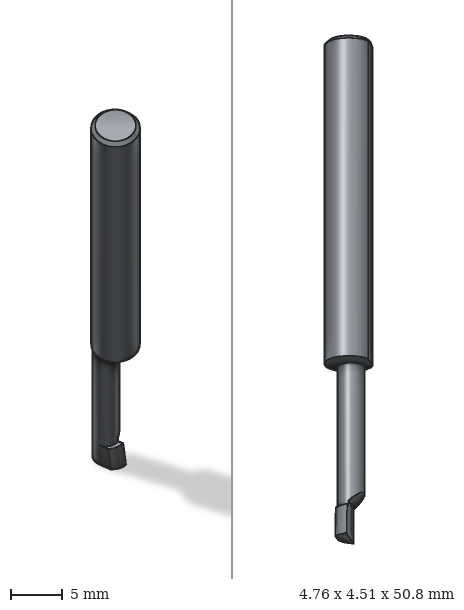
import cadquery as cq
import math

overall_length = 50.79

shank_diameter = 4.7625
shank_radius = shank_diameter / 2
shank_length = 33.0
shank_chamfer = 0.4
flat_to_opposite_side = 4.51
flat_y = flat_to_opposite_side - shank_radius

neck_radius = 1.33
neck_x = neck_radius - shank_radius
shoulder_z = overall_length - shank_length

rake_end_z = 3.65
runout_angle = 41.0

head_top_z = 3.15
head_side_lean = 0.31
head_reach_x = 1.18
head_land_x = 0.24
head_heel_x = 0.65
head_heel_y = -0.97
head_relief_bulge = 0.05

end_dish_angle = 2.5
end_relief_angle = 6.0
corner_chamfer_width = 0.15
corner_chamfer_height = 0.12

overshoot = 5.0


def make_shank():
    """Round shank with a chamfered top and one flat on the +Y side."""
    shank = (
        cq.Workplane("XY")
        .workplane(offset=shoulder_z)
        .circle(shank_radius)
        .extrude(shank_length)
        .faces(">Z")
        .chamfer(shank_chamfer)
    )
    flat_cut = (
        cq.Workplane("XY")
        .box(shank_diameter, shank_diameter, shank_length, centered=(True, False, False))
        .translate((0, flat_y, shoulder_z))
    )
    return shank.cut(flat_cut)


def make_neck():
    """Slender round neck with its lower +Y half cut back to the rake face."""
    neck = cq.Workplane("XY").center(neck_x, 0).circle(neck_radius).extrude(shoulder_z)
    cut_depth = neck_radius + overshoot
    runout_top_z = rake_end_z + cut_depth * math.tan(math.radians(runout_angle))
    rake_cut = (
        cq.Workplane("YZ")
        .polyline([(0, -overshoot), (0, rake_end_z), (cut_depth, runout_top_z), (cut_depth, -overshoot)])
        .close()
        .extrude(shank_diameter, both=True)
    )
    return neck.cut(rake_cut)


def head_section(z, shift):
    """Closed outline of the head at height z, its outer corners shifted along X."""
    inner_corner = cq.Vector(neck_x, 0, z)
    front_corner = cq.Vector(neck_x, -neck_radius, z)
    land_corner = cq.Vector(head_land_x + shift, -neck_radius, z)
    heel_corner = cq.Vector(head_heel_x + shift, head_heel_y, z)
    cutting_corner = cq.Vector(head_reach_x + shift, 0, z)

    chord = cutting_corner - heel_corner
    outward = cq.Vector(chord.y, -chord.x, 0).normalized()
    relief_middle = (heel_corner + cutting_corner) * 0.5 + outward * head_relief_bulge

    edges = [
        cq.Edge.makeLine(inner_corner, front_corner),
        cq.Edge.makeLine(front_corner, land_corner),
        cq.Edge.makeLine(land_corner, heel_corner),
        cq.Edge.makeThreePointArc(heel_corner, relief_middle, cutting_corner),
        cq.Edge.makeLine(cutting_corner, inner_corner),
    ]
    return cq.Wire.assembleEdges(edges)


def make_head():
    """Cutting head on the -Y side of the rake face, with leaning side reliefs."""
    sections = [head_section(0, 0), head_section(head_top_z, -head_side_lean)]
    return cq.Workplane(obj=cq.Solid.makeLoft(sections, True))


def make_end_clearance():
    """Cutter below the tip: a face that rises toward -X and -Y, plus the corner chamfer."""
    corner_x = head_reach_x - corner_chamfer_width
    dish = math.tan(math.radians(end_dish_angle))
    chamfer_slope = corner_chamfer_height / corner_chamfer_width
    relief = math.tan(math.radians(end_relief_angle))
    relief_run = cq.Vector(0, -2 * overshoot, 2 * overshoot * relief)
    start = cq.Vector(0, overshoot, -overshoot * relief)
    outline = cq.Wire.makePolygon(
        [
            start + cq.Vector(corner_x, 0, 0),
            start + cq.Vector(corner_x + overshoot, 0, overshoot * chamfer_slope),
            start + cq.Vector(corner_x + overshoot, 0, -overshoot),
            start + cq.Vector(corner_x - overshoot, 0, -overshoot),
            start + cq.Vector(corner_x - overshoot, 0, overshoot * dish),
        ],
        close=True,
    )
    return cq.Workplane(obj=cq.Solid.extrudeLinear(outline, [], relief_run))


cutting_end = make_neck().union(make_head()).cut(make_end_clearance())
result = make_shank().union(cutting_end)